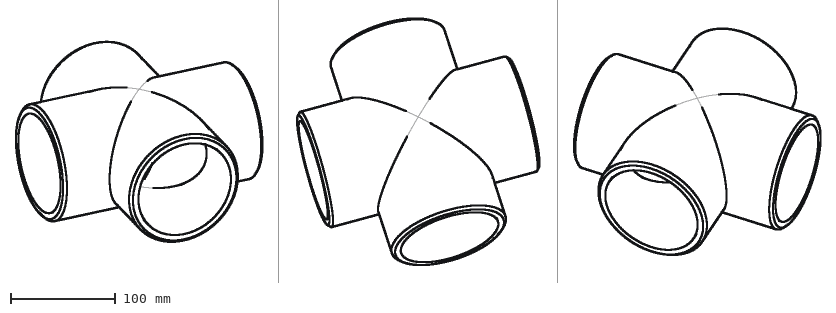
import cadquery as cq

overall_length = 209.3
outer_diameter = 114.3
wall_thickness = 8.56
bore_diameter = outer_diameter - 2 * wall_thickness
end_bevel = 2.8


def along_x(diameter):
    """Solid cylinder on the X axis, centred on the origin."""
    return cq.Workplane("YZ").circle(diameter / 2).extrude(overall_length / 2, both=True)


def along_y(diameter):
    """Solid cylinder on the Y axis, centred on the origin."""
    return cq.Workplane("XZ").circle(diameter / 2).extrude(overall_length / 2, both=True)


run_x = along_x(outer_diameter).faces("<X or >X").edges().chamfer(end_bevel)
run_y = along_y(outer_diameter).faces("<Y or >Y").edges().chamfer(end_bevel)
body = run_x.union(run_y)

result = body.cut(along_x(bore_diameter)).cut(along_y(bore_diameter))